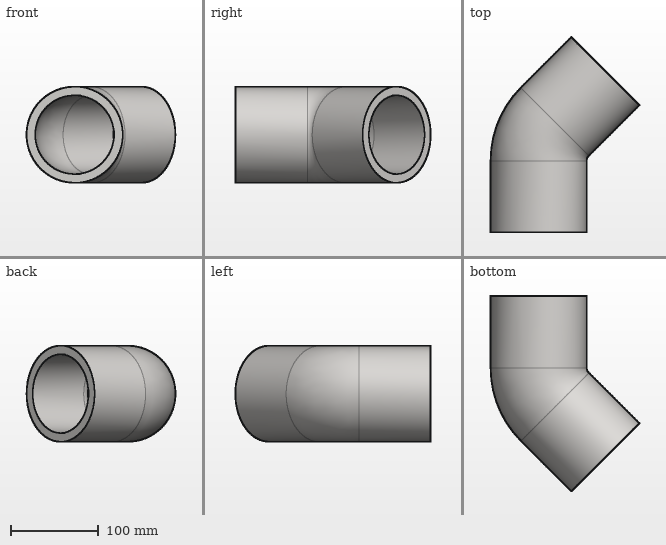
import cadquery as cq
import math

outer_diameter = 110.0
bore_diameter = 90.0
spigot_length = 82.0
bend_radius = 63.0
bend_angle = 45



def arc_point(angle):
    """Point on the bend centreline, at an angle in degrees from its start."""
    turn = math.radians(angle)
    return (
        bend_radius * (1 - math.cos(turn)),
        spigot_length + bend_radius * math.sin(turn),
    )


bend_end = arc_point(bend_angle)
end_turn = math.radians(bend_angle)
pipe_end = (
    bend_end[0] + spigot_length * math.sin(end_turn),
    bend_end[1] + spigot_length * math.cos(end_turn),
)

centreline = (
    cq.Workplane("XY")
    .lineTo(0, spigot_length)
    .threePointArc(arc_point(bend_angle / 2), bend_end)
    .lineTo(*pipe_end)
)

result = (
    cq.Workplane("XZ")
    .circle(outer_diameter / 2)
    .circle(bore_diameter / 2)
    .sweep(centreline)
)